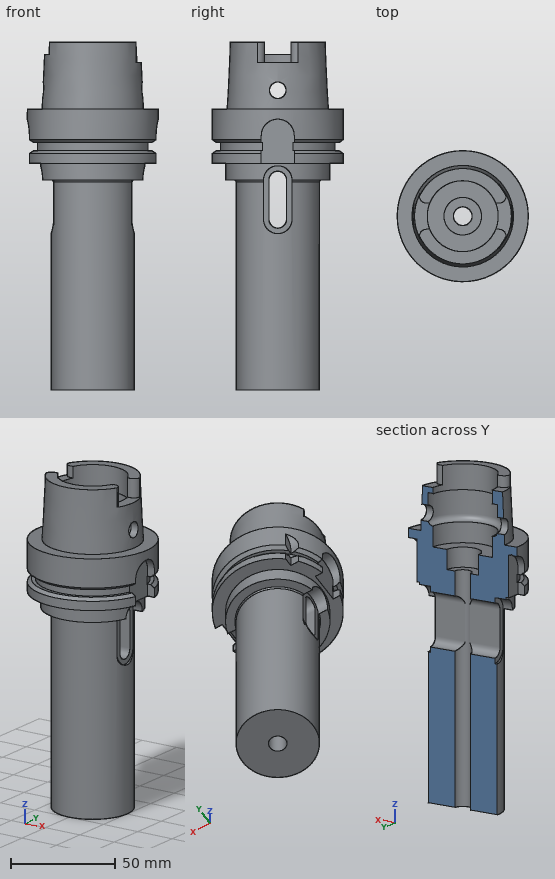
import cadquery as cq
import math

top_z = 167.0
flange_top_z = 135.0
flange_height = 26.0
collar_height = 8.0
neck_height = 0.8
flange_bottom_z = flange_top_z - flange_height
collar_bottom_z = flange_bottom_z - collar_height
neck_bottom_z = collar_bottom_z - neck_height

flange_radius = 63.0 / 2
collar_radius = 50.1 / 2
shank_radius = 40.0 / 2
neck_flare = 0.5
neck_radius = shank_radius + neck_flare
cone_base_radius = 48.8 / 2
cone_top_radius = 45.8 / 2

groove_z = 116.9
groove_root_radius = 55.1 / 2
groove_lip_radius = 59.0 / 2
groove_root_width = 3.8
groove_mouth_width = 6.7

bore_radius = 34.0 / 2
bore_straight_depth = 12.9
undercut_radius = 40.0 / 2
bore_depth = 39.2
undercut_straight_length = 13.0
seat_radius = 18.0 / 2
seat_depth = 10.0
through_radius = 8.9 / 2

drive_slot_width = 12.5
drive_slot_depths = {-1: 5.8, 1: 9.7}
drive_slot_rounding = 3.3

cross_hole_diameter = 7.8
cross_hole_z = top_z - 23.0

keyway_width = 15.9
keyway_floor_x = 26.5
keyway_top_z = 130.1
notch_wall_y = 19.7
notch_floor_x = 20.0

drift_width = 8.4
drift_bottom_z = 77.8
drift_length = 27.2
recess_border = 2.7
recess_floor_x = 18.7


def turned_body():
    """Shank, neck, collar, grooved flange and tapered nose as one revolved profile."""
    root = groove_root_width / 2
    mouth = groove_mouth_width / 2
    return (
        cq.Workplane("XZ")
        .moveTo(0, 0)
        .lineTo(shank_radius, 0)
        .lineTo(shank_radius, neck_bottom_z)
        .lineTo(neck_radius, collar_bottom_z)
        .lineTo(collar_radius, collar_bottom_z)
        .lineTo(collar_radius, flange_bottom_z)
        .lineTo(flange_radius, flange_bottom_z)
        .lineTo(flange_radius, groove_z - mouth)
        .lineTo(groove_lip_radius, groove_z - root)
        .lineTo(groove_root_radius, groove_z - root)
        .lineTo(groove_root_radius, groove_z + root)
        .lineTo(groove_lip_radius, groove_z + root)
        .lineTo(flange_radius, groove_z + mouth)
        .lineTo(flange_radius, flange_top_z)
        .lineTo(cone_base_radius, flange_top_z)
        .lineTo(cone_top_radius, top_z)
        .lineTo(0, top_z)
        .close()
        .revolve(360, (0, 0, 0), (0, 1, 0))
    )


def stepped_bore():
    """Bore whose undercut has a flat roof and curves back in to the bore at its lower end."""
    shoulder_z = top_z - bore_straight_depth
    rounding = undercut_radius - bore_radius
    rounding_z = shoulder_z - undercut_straight_length
    floor_z = top_z - bore_depth
    seat_z = floor_z - seat_depth
    return (
        cq.Workplane("XZ")
        .moveTo(0, 0)
        .lineTo(through_radius, 0)
        .lineTo(through_radius, seat_z)
        .lineTo(seat_radius, seat_z)
        .lineTo(seat_radius, floor_z)
        .lineTo(bore_radius, floor_z)
        .lineTo(bore_radius, rounding_z - rounding)
        .radiusArc((undercut_radius, rounding_z), -rounding)
        .lineTo(undercut_radius, shoulder_z)
        .lineTo(bore_radius, shoulder_z)
        .lineTo(bore_radius, top_z)
        .lineTo(0, top_z)
        .close()
        .revolve(360, (0, 0, 0), (0, 1, 0))
    )


def drive_slot(side):
    """Slot in the rim on one side of X, flaring outward with rounded corners."""
    half = drive_slot_width / 2
    flare = half + drive_slot_rounding
    flare_x = math.sqrt(cone_top_radius**2 - flare**2)
    straight_x = flare_x - drive_slot_rounding
    return (
        cq.Workplane("XY")
        .workplane(offset=top_z - drive_slot_depths[side])
        .moveTo(0, -half)
        .lineTo(side * straight_x, -half)
        .radiusArc((side * flare_x, -flare), side * drive_slot_rounding)
        .lineTo(side * flange_radius, -flare)
        .lineTo(side * flange_radius, flare)
        .lineTo(side * flare_x, flare)
        .radiusArc((side * straight_x, half), side * drive_slot_rounding)
        .lineTo(0, half)
        .close()
        .extrude(top_z)
    )


def round_ended_slot(width, bottom_z, slot_top_z, start_x, end_x):
    """Vertical slot with semicircular ends, running along X."""
    length = slot_top_z - bottom_z
    return (
        cq.Workplane("YZ")
        .workplane(offset=start_x)
        .center(0, bottom_z + length / 2)
        .slot2D(length, width, 90)
        .extrude(end_x - start_x)
    )


def keyway(side, floor_x, y=0.0):
    """Round-topped keyway that runs out through the underside of the flange."""
    radius = keyway_width / 2
    arc_z = keyway_top_z - radius
    return (
        cq.Workplane("YZ")
        .workplane(offset=side * floor_x)
        .moveTo(y - radius, flange_bottom_z)
        .lineTo(y - radius, arc_z)
        .threePointArc((y, keyway_top_z), (y + radius, arc_z))
        .lineTo(y + radius, flange_bottom_z)
        .close()
        .extrude(side * flange_radius)
    )


def cross_hole():
    """Hole along X through both walls of the nose."""
    return (
        cq.Workplane("YZ")
        .center(0, cross_hole_z)
        .circle(cross_hole_diameter / 2)
        .extrude(flange_radius, both=True)
    )


result = turned_body().cut(stepped_bore()).cut(cross_hole())

drift_top_z = drift_bottom_z + drift_length
result = result.cut(
    round_ended_slot(drift_width, drift_bottom_z, drift_top_z, -flange_radius, flange_radius)
)
for side in (-1, 1):
    result = result.cut(drive_slot(side))
    result = result.cut(keyway(side, keyway_floor_x))
    result = result.cut(
        round_ended_slot(
            drift_width + 2 * recess_border,
            drift_bottom_z - recess_border,
            drift_top_z + recess_border,
            side * recess_floor_x,
            side * flange_radius,
        )
    )

result = result.cut(keyway(-1, notch_floor_x, notch_wall_y + keyway_width / 2))